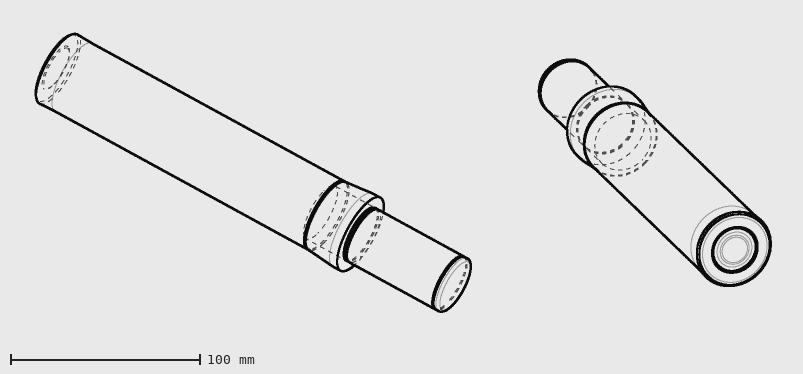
import cadquery as cq

total_length = 255.0
housing_length = 194.5

body_diameter = 41.0
foot_diameter = 41.8
foot_rim_diameter = 39.8
foot_face_diameter = 36.5
foot_face_slope = 0.5
foot_rim_length = 1.5
foot_taper_end = 11.5
collar_diameter = 44.0
collar_length = 4.8
flare_length = 16.3
body_groove_width = 1.0
groove_depth = 0.13

recess_diameter = 25.8
recess_floor_diameter = 24.0
boss_base_diameter = 19.6
boss_shoulder_diameter = 16.3
boss_top_diameter = 14.3
boss_chamfer = 0.3
recess_depth = 0.5

rod_diameter = 32.0
neck_groove_start = housing_length + 0.8
neck_groove_width = 1.3
end_groove_start = total_length - 3.8
end_groove_width = 0.8
end_round_radius = 1.5
rod_insertion = 25.5


def revolve_about_x(profile):
    """Turn a closed half profile around the X axis."""
    return profile.revolve(360, (0, 0), (1, 0))


def make_groove(start, width, diameter):
    """Shallow ring to cut from a cylinder of the given diameter."""
    outer_radius = diameter / 2 + groove_depth
    inner_radius = diameter / 2 - groove_depth
    return (
        cq.Workplane("YZ", origin=(start, 0, 0))
        .circle(outer_radius)
        .circle(inner_radius)
        .extrude(width)
    )


def make_foot_recess():
    """Ring recess that leaves a chamfered boss in the middle of the foot face."""
    profile = (
        cq.Workplane("XY")
        .moveTo(0, boss_top_diameter / 2)
        .lineTo(boss_chamfer, boss_shoulder_diameter / 2)
        .lineTo(recess_depth, boss_base_diameter / 2)
        .lineTo(recess_depth, recess_floor_diameter / 2)
        .lineTo(0, recess_diameter / 2)
        .close()
    )
    return revolve_about_x(profile)


def make_rod():
    """Rod with a shallow groove near each end of its exposed length and a rounded tip."""
    rod_radius = rod_diameter / 2
    rod_start = housing_length - rod_insertion
    rod = (
        cq.Workplane("YZ", origin=(rod_start, 0, 0))
        .circle(rod_radius)
        .extrude(total_length - rod_start)
        .faces(">X")
        .edges()
        .fillet(end_round_radius)
    )
    neck_groove = make_groove(neck_groove_start, neck_groove_width, rod_diameter)
    end_groove = make_groove(end_groove_start, end_groove_width, rod_diameter)
    return rod.cut(neck_groove).cut(end_groove)


def make_housing(rod):
    """Housing with a rimmed foot, a flared collar and a bore filled by the rod."""
    body_radius = body_diameter / 2
    collar_radius = collar_diameter / 2
    collar_start = housing_length - collar_length
    flare_start = collar_start - flare_length
    profile = (
        cq.Workplane("XY")
        .lineTo(0, foot_face_diameter / 2)
        .lineTo(foot_face_slope, foot_rim_diameter / 2)
        .lineTo(foot_rim_length, foot_diameter / 2)
        .lineTo(foot_taper_end, body_radius)
        .lineTo(flare_start, body_radius)
        .spline([(collar_start, collar_radius)], tangents=[(1, 0), (1, 0)], includeCurrent=True)
        .lineTo(housing_length, collar_radius)
        .lineTo(housing_length, 0)
        .close()
    )
    body_groove = make_groove(flare_start - body_groove_width, body_groove_width, body_diameter)
    return revolve_about_x(profile).cut(body_groove).cut(make_foot_recess()).cut(rod)


rod = make_rod()
housing = make_housing(rod)
result = cq.Compound.makeCompound([housing.val(), rod.val()])